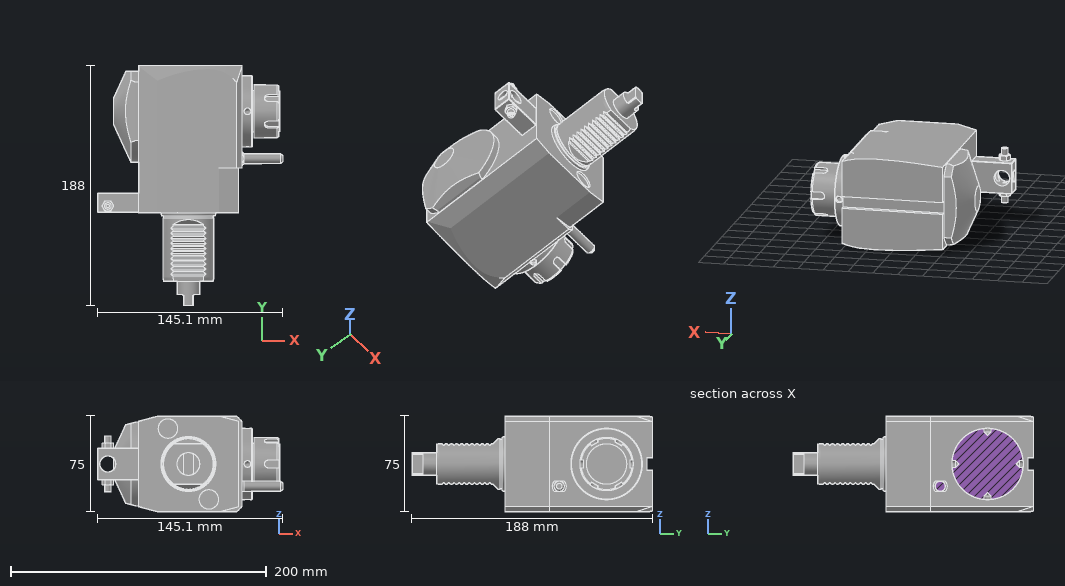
import cadquery as cq
import math


BODY_LENGTH = 115.5
BODY_HALF_HEIGHT = 37.5
BODY_LEFT_X = -39.0
BODY_RIGHT_X = 42.0
RELIEF_RIGHT_X = 39.3
RELIEF_LENGTH = 35.0
TAPER_START_X = 24.0
TAPER_SLOPE = math.tan(math.radians(15))
CORNER_CHAMFER = 4.2
SIDE_HALF_HEIGHT = BODY_HALF_HEIGHT - CORNER_CHAMFER
CROWN_SLOPE = math.tan(math.radians(13))
CROWN_EDGE = [(-40.0, 33.2), (-9.9, 35.86), (13.0, 36.75), (28.6, 36.1), (43.0, 32.8)]
CROWN_CUT_LENGTH = 20.0
BACK_SLOT_WIDTH = 9.5
BACK_SLOT_DEPTH = 4.2
PLUG_RECESS_RADIUS = 7.6
PLUG_RECESS_DEPTH = 1.5
PLUG_RECESS_X = 16.0
PLUG_RECESS_Z = 27.7

SPINDLE_Y = 79.5

COVER_RADIUS = 40.0
COVER_TIP_RADIUS = 10.0
COVER_TIP_X = -58.75
COVER_RIM_X = -45.0
COVER_BACK_Y = 111.0
COVER_HALF_HEIGHT = 32.9
COVER_FLAT_END_X = -41.0

COLLAR_RADIUS = 28.0
COLLAR_END_X = 50.0
COLLAR_CHAMFER = 0.5
COLLAR_HOLE_RADIUS = 2.6
COLLAR_HOLE_DEPTH = 3.0
COLLAR_HOLE_X = 46.2
COLLAR_HOLE_COUNT = 4
NECK_RADIUS = 16.3
NUT_RADIUS = 20.9
NUT_START_X = 51.2
NUT_END_X = 70.8
NUT_BEVEL_LENGTH = 1.5
NUT_BEVEL_DEPTH = 0.9
COLLET_RADIUS = 15.8
COLLET_END_X = 71.5
NUT_SLOT_COUNT = 6
NUT_SLOT_WIDTH = 6.1
NUT_SLOT_START_X = 59.5
NUT_SLOT_FLOOR = 18.2

PIN_RADIUS = 4.0
PIN_Y = 42.5
PIN_Z = -17.4
PIN_END_X = 74.14
PIN_TIP_LENGTH = 2.0
PIN_TIP_RADIUS = 2.2
PIN_FOOT_RADIUS = 5.5
PIN_FOOT_LENGTH = 1.5

FLANGE_RADIUS = 21.5
FLANGE_LENGTH = 2.3
FLANGE_END_RADIUS = 20.9
FLANGE_BULGE = 0.15
SHANK_NECK_RADIUS = 19.5
SHANK_START = 4.0
SHANK_RADIUS = 20.0
SHANK_LENGTH = 53.4
SHANK_BEVEL_LENGTH = 2.6
SHANK_BEVEL_DEPTH = 0.6
FLAT_Z = 16.0
FLAT_RAMP_START = 5.2
FLAT_BEVEL_DEPTH = 0.3
TOOTH_DEPTH = 1.5
TOOTH_PITCH = 4.0
TOOTH_COUNT = 10
FIRST_TOOTH = 11.8

TANG_RADIUS = 8.9
TANG_SHOULDER = 63.9
TANG_END = 72.5
TANG_THICKNESS = 8.0
TANG_ROOT_ROUND = 0.8
TANG_EDGE_CHAMFER = 0.6

BRACKET_LEFT_X = -71.0
BRACKET_Y_MIN = 0.5
BRACKET_WIDTH = 15.0
BRACKET_HEIGHT = 25.0
BRACKET_CHAMFER = 0.4
BRACKET_BORE_X = -63.0
BRACKET_BORE_RADIUS = 6.2
BRACKET_SIDE_HOLE_RADIUS = 4.7
BRACKET_SIDE_HOLE_Y = 7.1
BRACKET_SIDE_HOLE_END_X = -50.0
BRACKET_PILOT_RADIUS = 1.3
BRACKET_PILOT_DEPTH = 3.0
STUD_Y = 5.5
STUD_RADIUS = 2.6
STUD_HALF_HEIGHT = 21.9
STUD_NUT_ACROSS_FLATS = 8.0
STUD_NUT_HEIGHT = 4.0
STUD_NUT_CHAMFER = 0.5
STUD_SOCKET_ACROSS_FLATS = 2.5
STUD_SOCKET_DEPTH = 3.0
STUD_TIP_HOLE_RADIUS = 1.2
STUD_TIP_HOLE_DEPTH = 1.5

MARGIN = 10.0
CLEARANCE = 1.0


def x_cylinder(radius, x_start, x_end, y, z=0.0):
    axis_start = cq.Vector(x_start, y, z)
    return cq.Workplane(cq.Solid.makeCylinder(radius, x_end - x_start, axis_start, cq.Vector(1, 0, 0)))


def y_cylinder(radius, y_start, length, x=0.0, z=0.0):
    axis_start = cq.Vector(x, y_start, z)
    return cq.Workplane(cq.Solid.makeCylinder(radius, length, axis_start, cq.Vector(0, 1, 0)))


def box(x_min, x_max, y_min, y_max, z_min, z_max):
    block = cq.Workplane().box(x_max - x_min, y_max - y_min, z_max - z_min, centered=False)
    return block.translate((x_min, y_min, z_min))


def revolve_about_x(points, y, z=0.0):
    """Revolve an (x, radius) outline about a line parallel to X."""
    profile = cq.Workplane("XY").polyline(points).close()
    return profile.revolve(360, (0, 0, 0), (1, 0, 0)).translate((0, y, z))


def prism_along_y(half_outline, y_start, y_end):
    """Extrude an (x, z) outline, mirrored about Z = 0, from y_start to y_end."""
    lower = [(x, -z) for x, z in reversed(half_outline)]
    profile = cq.Workplane("XZ", origin=(0, y_start, 0)).polyline(half_outline + lower).close()
    return profile.extrude(y_start - y_end)


def make_crown_cut():
    """Back-edge bevel: a curved edge swept straight forward and up."""
    outline = (
        cq.Workplane("XZ", origin=(0, BODY_LENGTH, 0))
        .spline(CROWN_EDGE)
        .lineTo(CROWN_EDGE[-1][0], BODY_HALF_HEIGHT + MARGIN)
        .lineTo(CROWN_EDGE[0][0], BODY_HALF_HEIGHT + MARGIN)
        .close()
    )
    sweep = cq.Vector(0, -CROWN_CUT_LENGTH, CROWN_CUT_LENGTH * CROWN_SLOPE)
    return cq.Workplane(cq.Solid.extrudeLinear(outline.val(), [], sweep))


def make_body():
    left_outline = [
        (BODY_LEFT_X, BODY_HALF_HEIGHT - TAPER_SLOPE * (-TAPER_START_X - BODY_LEFT_X)),
        (-TAPER_START_X, BODY_HALF_HEIGHT),
    ]
    relief_side_z = BODY_HALF_HEIGHT - TAPER_SLOPE * (RELIEF_RIGHT_X - TAPER_START_X)
    relieved_outline = left_outline + [(TAPER_START_X, BODY_HALF_HEIGHT), (RELIEF_RIGHT_X, relief_side_z)]
    main_outline = left_outline + [
        (BODY_RIGHT_X - CORNER_CHAMFER, BODY_HALF_HEIGHT),
        (BODY_RIGHT_X, SIDE_HALF_HEIGHT),
    ]
    body = prism_along_y(main_outline, RELIEF_LENGTH, BODY_LENGTH)
    body = body.union(prism_along_y(relieved_outline, 0, RELIEF_LENGTH))

    crown_cut = make_crown_cut()
    body = body.cut(crown_cut).cut(crown_cut.mirror("XY"))

    half_slot = BACK_SLOT_WIDTH / 2
    slot_floor = BODY_LENGTH - BACK_SLOT_DEPTH
    back_slot = box(
        BODY_LEFT_X - CLEARANCE,
        BODY_RIGHT_X + CLEARANCE,
        slot_floor,
        BODY_LENGTH + CLEARANCE,
        -half_slot,
        half_slot,
    )
    body = body.cut(back_slot)
    for side in (-1, 1):
        recess = y_cylinder(
            PLUG_RECESS_RADIUS, 0, PLUG_RECESS_DEPTH, side * PLUG_RECESS_X, -side * PLUG_RECESS_Z
        )
        body = body.cut(recess)
    return body


def make_cover():
    cover = revolve_about_x(
        [
            (COVER_TIP_X, 0),
            (COVER_TIP_X, COVER_TIP_RADIUS),
            (COVER_RIM_X, COVER_RADIUS),
            (BODY_LEFT_X, COVER_RADIUS),
            (BODY_LEFT_X, 0),
        ],
        SPINDLE_Y,
    )
    tip_half_height = COVER_HALF_HEIGHT - TAPER_SLOPE * (COVER_FLAT_END_X - COVER_TIP_X)
    envelope = prism_along_y(
        [
            (COVER_TIP_X, tip_half_height),
            (COVER_FLAT_END_X, COVER_HALF_HEIGHT),
            (BODY_LEFT_X, COVER_HALF_HEIGHT),
        ],
        SPINDLE_Y - COVER_RADIUS - CLEARANCE,
        COVER_BACK_Y,
    )
    return cover.intersect(envelope)


def make_collar():
    collar = x_cylinder(COLLAR_RADIUS, BODY_RIGHT_X, COLLAR_END_X, SPINDLE_Y)
    collar = collar.faces(">X").edges().chamfer(COLLAR_CHAMFER)
    floor_radius = COLLAR_RADIUS - COLLAR_HOLE_DEPTH
    drill_outline = [
        (0, floor_radius - COLLAR_HOLE_RADIUS),
        (COLLAR_HOLE_RADIUS, floor_radius),
        (COLLAR_HOLE_RADIUS, COLLAR_RADIUS + CLEARANCE),
        (0, COLLAR_RADIUS + CLEARANCE),
    ]
    drill = cq.Workplane("XZ").polyline(drill_outline).close().revolve(360, (0, 0, 0), (0, 1, 0))
    for index in range(COLLAR_HOLE_COUNT):
        turned = drill.rotate((0, 0, 0), (1, 0, 0), index * 360 / COLLAR_HOLE_COUNT)
        collar = collar.cut(turned.translate((COLLAR_HOLE_X, SPINDLE_Y, 0)))
    return collar


def make_collet_nut():
    nut = revolve_about_x(
        [
            (BODY_RIGHT_X, 0),
            (BODY_RIGHT_X, NECK_RADIUS),
            (NUT_START_X, NECK_RADIUS),
            (NUT_START_X, NUT_RADIUS),
            (NUT_END_X - NUT_BEVEL_LENGTH, NUT_RADIUS),
            (NUT_END_X, NUT_RADIUS - NUT_BEVEL_DEPTH),
            (NUT_END_X, COLLET_RADIUS),
            (COLLET_END_X, COLLET_RADIUS),
            (COLLET_END_X, 0),
        ],
        SPINDLE_Y,
    )
    slot_length = NUT_END_X + MARGIN - NUT_SLOT_START_X
    slot = (
        cq.Workplane("XZ", origin=(0, -NUT_SLOT_FLOOR, 0))
        .center(NUT_SLOT_START_X + slot_length / 2, 0)
        .slot2D(slot_length, NUT_SLOT_WIDTH)
        .extrude(MARGIN)
    )
    for index in range(NUT_SLOT_COUNT):
        turned = slot.rotate((0, 0, 0), (1, 0, 0), index * 360 / NUT_SLOT_COUNT)
        nut = nut.cut(turned.translate((0, SPINDLE_Y, 0)))
    return nut


def make_pin():
    """Conical-tipped pin on a flared foot that is no taller than the pin itself."""
    pin = revolve_about_x(
        [
            (BODY_RIGHT_X, 0),
            (BODY_RIGHT_X, PIN_RADIUS),
            (PIN_END_X - PIN_TIP_LENGTH, PIN_RADIUS),
            (PIN_END_X, PIN_TIP_RADIUS),
            (PIN_END_X, 0),
        ],
        PIN_Y,
        PIN_Z,
    )
    foot_end_x = BODY_RIGHT_X + PIN_FOOT_LENGTH
    foot = revolve_about_x(
        [(BODY_RIGHT_X, 0), (BODY_RIGHT_X, PIN_FOOT_RADIUS), (foot_end_x, PIN_RADIUS), (foot_end_x, 0)],
        PIN_Y,
        PIN_Z,
    )
    foot_envelope = box(
        BODY_RIGHT_X,
        foot_end_x,
        PIN_Y - PIN_FOOT_RADIUS,
        PIN_Y + PIN_FOOT_RADIUS,
        PIN_Z - PIN_RADIUS,
        PIN_Z + PIN_RADIUS,
    )
    return pin.union(foot.intersect(foot_envelope))


def make_flat_cut():
    """Material removed above one shank flat: ramp, flat, V grooves and end bevel."""
    top_z = SHANK_RADIUS + CLEARANCE
    ramp_end = FLAT_RAMP_START + SHANK_RADIUS - FLAT_Z
    outline = [
        (-SHANK_LENGTH - CLEARANCE, top_z),
        (-FLAT_RAMP_START + CLEARANCE, top_z),
        (-ramp_end, FLAT_Z),
    ]
    for index in range(TOOTH_COUNT):
        valley_y = -FIRST_TOOTH - index * TOOTH_PITCH
        outline += [
            (valley_y + TOOTH_DEPTH, FLAT_Z),
            (valley_y, FLAT_Z - TOOTH_DEPTH),
            (valley_y - TOOTH_DEPTH, FLAT_Z),
        ]
    outline += [
        (-SHANK_LENGTH + SHANK_BEVEL_LENGTH, FLAT_Z),
        (-SHANK_LENGTH, FLAT_Z - FLAT_BEVEL_DEPTH),
        (-SHANK_LENGTH - CLEARANCE, FLAT_Z - FLAT_BEVEL_DEPTH),
    ]
    profile = cq.Workplane("YZ").polyline(outline).close()
    return profile.extrude(SHANK_RADIUS, both=True)


def make_shank():
    flange_mid_radius = (FLANGE_RADIUS + FLANGE_END_RADIUS) / 2 + FLANGE_BULGE
    flange = (
        cq.Workplane("XY")
        .lineTo(FLANGE_RADIUS, 0)
        .threePointArc((flange_mid_radius, -FLANGE_LENGTH / 2), (FLANGE_END_RADIUS, -FLANGE_LENGTH))
        .lineTo(0, -FLANGE_LENGTH)
        .close()
        .revolve(360, (0, 0, 0), (0, 1, 0))
    )
    neck = y_cylinder(SHANK_NECK_RADIUS, -SHANK_START, SHANK_START)
    outline = [
        (0, -SHANK_START),
        (SHANK_RADIUS, -SHANK_START),
        (SHANK_RADIUS, -SHANK_LENGTH + SHANK_BEVEL_LENGTH),
        (SHANK_RADIUS - SHANK_BEVEL_DEPTH, -SHANK_LENGTH),
        (0, -SHANK_LENGTH),
    ]
    shank = cq.Workplane("XY").polyline(outline).close().revolve(360, (0, 0, 0), (0, 1, 0))
    flat_cut = make_flat_cut()
    shank = shank.cut(flat_cut).cut(flat_cut.mirror("XY"))
    return shank.union(neck).union(flange)


def make_tang():
    tang = y_cylinder(TANG_RADIUS, -TANG_END, TANG_END - SHANK_LENGTH)
    half = TANG_THICKNESS / 2
    side_cut = box(half, half + MARGIN, -TANG_END - MARGIN, -TANG_SHOULDER, -MARGIN, MARGIN)
    side_cut = side_cut.edges("<X and >Y").fillet(TANG_ROOT_ROUND)
    tang = tang.cut(side_cut).cut(side_cut.mirror("YZ"))

    blade_length = TANG_END - TANG_SHOULDER - TANG_ROOT_ROUND
    corner_z = math.sqrt(TANG_RADIUS**2 - half**2)
    inner_x = half - TANG_EDGE_CHAMFER
    inner_z = corner_z - TANG_EDGE_CHAMFER
    corner_outline = [(half, inner_z), (half, TANG_RADIUS), (inner_x, TANG_RADIUS), (inner_x, corner_z)]
    corner_cut = cq.Workplane("XZ", origin=(0, -TANG_END, 0)).polyline(corner_outline).close()
    corner_cut = corner_cut.extrude(-blade_length)
    corner_cut = corner_cut.union(corner_cut.mirror("XY"))
    return tang.cut(corner_cut).cut(corner_cut.mirror("YZ"))


def hexagon_corner_diameter(across_flats):
    return across_flats / math.cos(math.pi / 6)


def make_stud(half_height):
    """Socket-ended stud along Z with a hexagon nut seated at each bracket face."""
    stud = cq.Workplane("XY").circle(STUD_RADIUS).extrude(STUD_HALF_HEIGHT, both=True)
    nut_half_height = half_height + STUD_NUT_HEIGHT
    nut_corners = hexagon_corner_diameter(STUD_NUT_ACROSS_FLATS)
    nuts = cq.Workplane("XY").polygon(6, nut_corners).extrude(nut_half_height, both=True)
    nut_envelope = cq.Workplane("XY").circle(nut_corners / 2).extrude(nut_half_height, both=True)
    nuts = nuts.intersect(nut_envelope.faces("|Z").edges().chamfer(STUD_NUT_CHAMFER))

    socket = (
        cq.Workplane("XY", origin=(0, 0, STUD_HALF_HEIGHT - STUD_SOCKET_DEPTH))
        .polygon(6, hexagon_corner_diameter(STUD_SOCKET_ACROSS_FLATS))
        .extrude(STUD_SOCKET_DEPTH)
    )
    return stud.union(nuts).cut(socket).cut(socket.mirror("XY"))


def make_bracket():
    y_max = BRACKET_Y_MIN + BRACKET_WIDTH
    half_height = BRACKET_HEIGHT / 2
    bracket = box(BRACKET_LEFT_X, BODY_LEFT_X, BRACKET_Y_MIN, y_max, -half_height, half_height)
    bracket = bracket.edges("|X or <X").chamfer(BRACKET_CHAMFER)
    bracket = bracket.union(make_stud(half_height).translate((BRACKET_BORE_X, STUD_Y, 0)))

    bore_length = BRACKET_WIDTH + 2 * CLEARANCE
    bore = y_cylinder(BRACKET_BORE_RADIUS, BRACKET_Y_MIN - CLEARANCE, bore_length, BRACKET_BORE_X)
    side_hole = x_cylinder(
        BRACKET_SIDE_HOLE_RADIUS, BRACKET_LEFT_X - CLEARANCE, BRACKET_SIDE_HOLE_END_X, BRACKET_SIDE_HOLE_Y
    )
    pilot_end_x = BRACKET_SIDE_HOLE_END_X + BRACKET_PILOT_DEPTH
    pilot = x_cylinder(BRACKET_PILOT_RADIUS, BRACKET_SIDE_HOLE_END_X, pilot_end_x, BRACKET_SIDE_HOLE_Y)
    tip_holes = (
        cq.Workplane("XY", origin=(BRACKET_BORE_X, STUD_Y, 0))
        .circle(STUD_TIP_HOLE_RADIUS)
        .extrude(BRACKET_BORE_RADIUS + STUD_TIP_HOLE_DEPTH, both=True)
    )
    return bracket.cut(bore).cut(side_hole).cut(pilot).cut(tip_holes)


result = (
    make_body()
    .union(make_cover())
    .union(make_collar())
    .union(make_collet_nut())
    .union(make_pin())
    .union(make_shank())
    .union(make_tang())
    .union(make_bracket())
)